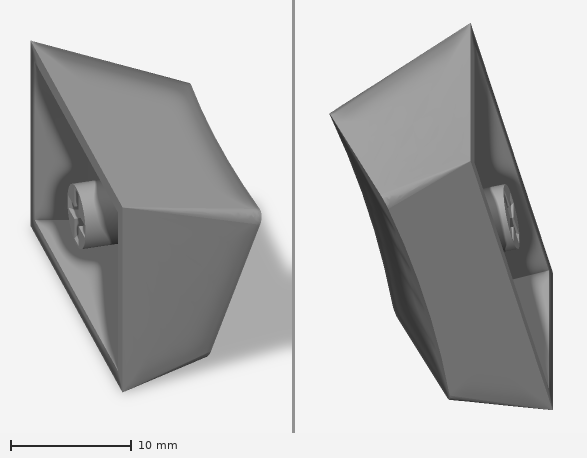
import cadquery as cq
import math

width = 27.75
height = 18.0
mouth_radius = 0.03

face_width = 22.6
face_top_y = 12.95
face_top_z = 13.6
face_bottom_y = 8.05
face_bottom_z = 0.2
face_radius = 0.97

dish_depth = 0.6

wall = 1.25
rim = 1.3
face_inset = 1.4

stem_diameter = 5.5
stem_z = height / 2
socket_span = 5.0
upright_slot_width = 1.25
level_slot_width = 1.2
lead_in = 0.5

face_run = face_top_y - face_bottom_y
face_rise = face_top_z - face_bottom_z
face_height = math.hypot(face_run, face_rise)
lean = math.atan2(face_run, face_rise)
dish_radius = ((face_width / 2) ** 2 + dish_depth**2) / (2 * dish_depth)
reach = 2 * face_top_y

mouth_plane = cq.Plane(origin=(0, 0, height / 2), xDir=(1, 0, 0), normal=(0, -1, 0))
face_plane = cq.Plane(
    origin=(0, (face_top_y + face_bottom_y) / 2, (face_top_z + face_bottom_z) / 2),
    xDir=(1, 0, 0),
    normal=(0, -math.cos(lean), math.sin(lean)),
)


def rectangle(plane, size_x, size_y):
    return cq.Workplane(plane).rect(size_x, size_y).wires().val()


def rounded_rectangle(plane, size_x, size_y, radius):
    sketch = cq.Sketch().rect(size_x, size_y).vertices().fillet(radius)
    return sketch.reset().faces().vals()[0].outerWire().moved(cq.Location(plane))


def ruled_loft(first, second):
    return cq.Workplane(cq.Solid.makeLoft([first, second], True))


def dish_cylinder(radius):
    """Cylinder about the dish axis, which climbs parallel to the touch face."""
    axis = face_plane.yDir
    middle = face_plane.toWorldCoords((0, 0, dish_depth - dish_radius))
    start = middle - axis * reach
    return cq.Workplane(cq.Solid.makeCylinder(radius, 2 * reach, start, axis))


def slot(size_x, size_z):
    """Straight slot running in from the mouth plane."""
    return cq.Workplane(mouth_plane).rect(size_x, size_z).extrude(-reach)


def lead(size_x, size_z, end_x, end_z):
    """Tapered slot entrance, narrowing to the straight slot."""
    deep_plane = cq.Plane(origin=(0, lead_in, stem_z), xDir=(1, 0, 0), normal=(0, -1, 0))
    return ruled_loft(rectangle(mouth_plane, size_x, size_z), rectangle(deep_plane, end_x, end_z))


def socket():
    inner_span = socket_span - 2 * lead_in
    level = slot(inner_span, level_slot_width).union(
        lead(socket_span, level_slot_width, inner_span, level_slot_width)
    )
    upright = slot(upright_slot_width, inner_span).union(
        lead(upright_slot_width, socket_span, upright_slot_width, inner_span)
    )
    return level.union(upright)


def outer_body():
    mouth = rounded_rectangle(mouth_plane, width, height, mouth_radius)
    face = rounded_rectangle(face_plane, face_width, face_height, face_radius)
    return ruled_loft(mouth, face).cut(dish_cylinder(dish_radius))


def hollow():
    """Tapered cavity whose floor follows the dish at one wall thickness."""
    mouth = rectangle(mouth_plane, width - 2 * rim, height - 2 * rim)
    face = rectangle(face_plane, face_width - 2 * face_inset, face_height - 2 * face_inset)
    return ruled_loft(mouth, face).cut(dish_cylinder(dish_radius + wall))


stem = cq.Workplane(mouth_plane).circle(stem_diameter / 2).extrude(-reach).cut(socket())
result = outer_body().cut(hollow().cut(stem))